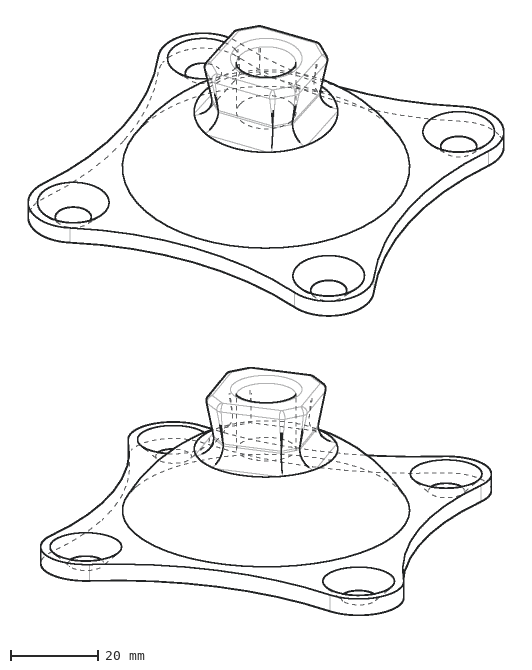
import cadquery as cq
import math

overall_width = 86.5
lobe_radius = 10.4
waist_half_width = 36.8
hole_radius = 8.2 / 2
plate_thickness = hole_radius
countersink_radius = 2 * hole_radius
hole_offset = overall_width / 2 - lobe_radius

dome_base_radius = 33.0
dome_top_radius = dome_base_radius / 2
dome_top_z = 19.5

total_height = 34.35
neck_top_z = 24.1
neck_half_width = 10.4
neck_flat_half_length = 7.0
head_taper_angle = 11.0
root_fillet = 4.1
rim_fillet = 1.4
bore_radius = 6.8
bore_floor_z = dome_top_z


def make_plate():
    """Square plate with round corner lobes and concave sides tangent to them."""
    gap = waist_half_width - hole_offset
    side_radius = (hole_offset**2 + gap**2 - lobe_radius**2) / (2 * (lobe_radius - gap))
    blend = lobe_radius / (side_radius + lobe_radius)
    join_along = hole_offset * (1 - blend)
    join_out = hole_offset + (gap + side_radius) * blend
    lobe_tip = hole_offset + lobe_radius / math.sqrt(2)

    def turned(x, y, quarter_turns):
        for _ in range(quarter_turns):
            x, y = -y, x
        return x, y

    outline = cq.Workplane("XY").moveTo(join_out, -join_along)
    for turn in range(4):
        outline = outline.threePointArc(
            turned(waist_half_width, 0, turn), turned(join_out, join_along, turn)
        )
        outline = outline.threePointArc(
            turned(lobe_tip, lobe_tip, turn), turned(join_along, join_out, turn)
        )
    return outline.close().extrude(plate_thickness)


def make_countersinks():
    """Conical cutters for the four corner holes, spanning the plate thickness."""
    cone = cq.Solid.makeCone(hole_radius, countersink_radius, plate_thickness)
    spacing = 2 * hole_offset
    corners = cq.Workplane("XY").rect(spacing, spacing, forConstruction=True).vertices()
    return corners.eachpoint(lambda location: cone.located(location), combine=False)


def make_dome():
    """Spherical dome with a flat top, carried down through the plate as a cylinder."""
    rise = dome_top_z - plate_thickness
    mid_z = (dome_top_z + plate_thickness) / 2
    sphere_center_z = mid_z - (dome_base_radius**2 - dome_top_radius**2) / (2 * rise)
    sphere_radius = math.hypot(dome_base_radius, plate_thickness - sphere_center_z)
    mid_radius = math.sqrt(sphere_radius**2 - (mid_z - sphere_center_z) ** 2)
    return (
        cq.Workplane("XZ")
        .lineTo(dome_base_radius, 0)
        .lineTo(dome_base_radius, plate_thickness)
        .threePointArc((mid_radius, mid_z), (dome_top_radius, dome_top_z))
        .lineTo(0, dome_top_z)
        .close()
        .revolve()
    )


def octagon(z):
    """Square outline with cut corners, at height z."""
    wide = neck_half_width
    flat = neck_flat_half_length
    points = [
        (wide, -flat), (wide, flat), (flat, wide), (-flat, wide),
        (-wide, flat), (-wide, -flat), (-flat, -wide), (flat, -wide),
    ]
    return cq.Workplane("XY", origin=(0, 0, z)).polyline(points).close()


def make_neck():
    """Straight neck whose root fillet is trimmed to the dome's flat top."""
    seat_size = 3 * dome_top_radius
    seat = (
        cq.Workplane("XY", origin=(0, 0, plate_thickness))
        .rect(seat_size, seat_size)
        .extrude(dome_top_z - plate_thickness)
    )
    neck = seat.union(octagon(dome_top_z).extrude(neck_top_z - dome_top_z))
    margin = root_fillet / 4
    root_edges = cq.selectors.BoxSelector(
        (-dome_top_radius, -dome_top_radius, dome_top_z - margin),
        (dome_top_radius, dome_top_radius, dome_top_z + margin),
    )
    neck = neck.edges(root_edges).fillet(root_fillet)
    trim = (
        cq.Workplane("XY", origin=(0, 0, dome_top_z))
        .circle(dome_top_radius)
        .extrude(neck_top_z - dome_top_z)
    )
    return neck.intersect(trim)


def make_head():
    """Head flaring outward to a rounded top rim."""
    head = octagon(neck_top_z).extrude(total_height - neck_top_z, taper=-head_taper_angle)
    return head.faces(">Z").edges().fillet(rim_fillet)


def cut_bore(body):
    """Blind bore from the top with a rounded mouth."""
    bore = (
        cq.Workplane("XY", origin=(0, 0, bore_floor_z))
        .circle(bore_radius)
        .extrude(total_height - bore_floor_z)
    )
    return body.cut(bore).faces(">Z").edges("%CIRCLE").fillet(rim_fillet)


plate = make_plate().cut(make_countersinks())
body = plate.union(make_dome()).union(make_neck()).union(make_head())
result = cut_bore(body)